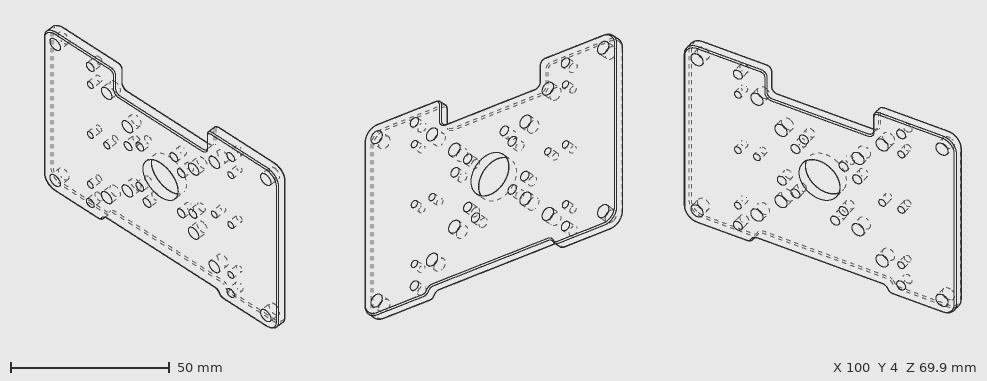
import cadquery as cq
import math

length = 100
thickness = 4
height = 69.9
corner_radius = 5
edge_chamfer = 0.5

notch_width = 39.2
notch_depth = 10
notch_radius = 2

recess_depth = 2.5
recess_mouth_width = 51
recess_floor_width = 48.2
recess_radius = 2

bore_diameter = 15
large_diameter = 4.5
medium_diameter = 3.3
small_diameter = 2.5

corner_x = 45
corner_z = 30
side_x = 30
side_small_z = 22
inner_x = 23
large_circle_radius = 20
diagonal_circle_radius = 12.5
offset_circle_radius = 15
diagonal_angle = 45
offset_angle = 67.5


def mirrored(x, z):
    """The four points mirrored about both axes of the plate."""
    return [(sx * x, sz * z) for sx in (-1, 1) for sz in (-1, 1)]


def on_circle(radius, start_angle):
    """Four points a quarter turn apart on a circle about the bore."""
    angles = [math.radians(start_angle + 90 * i) for i in range(4)]
    return [(radius * math.cos(a), radius * math.sin(a)) for a in angles]


def plate_prism(points):
    """Prism through the full thickness, outlined by (x, z) points."""
    return cq.Workplane("XZ").polyline(points).close().extrude(thickness / 2, both=True)


def round_edges(body, points, radius):
    """Fillet the edges that cross the thickness at the given (x, z) points."""
    for x, z in points:
        body = body.edges(cq.selectors.NearestToPointSelector((x, 0, z))).fillet(radius)
    return body


def plate_blank():
    """Plate with its notch, recess, rounded corners and chamfered rim, without holes."""
    half_length = length / 2
    top = height / 2
    notch_floor = top - notch_depth
    recess_floor = recess_depth - top

    plate_corners = mirrored(half_length, top)
    notch_mouth = [(s * notch_width / 2, top) for s in (-1, 1)]
    notch_inner = [(s * notch_width / 2, notch_floor) for s in (-1, 1)]
    recess_mouth = [(s * recess_mouth_width / 2, -top) for s in (-1, 1)]
    recess_inner = [(s * recess_floor_width / 2, recess_floor) for s in (-1, 1)]

    outline = [
        (-half_length, -top),
        recess_mouth[0],
        recess_inner[0],
        recess_inner[1],
        recess_mouth[1],
        (half_length, -top),
        (half_length, top),
        notch_mouth[1],
        notch_inner[1],
        notch_inner[0],
        notch_mouth[0],
        (-half_length, top),
    ]
    blank = plate_prism(outline)
    blank = round_edges(blank, plate_corners, corner_radius)
    blank = round_edges(blank, notch_mouth + notch_inner, notch_radius)
    blank = round_edges(blank, recess_mouth + recess_inner, recess_radius)
    return blank.faces("<Y or >Y").edges().chamfer(edge_chamfer)


def drills(points, diameter):
    """Cylinders through the full thickness at (x, z) points."""
    return cq.Workplane("XZ").pushPoints(points).circle(diameter / 2).extrude(thickness / 2, both=True)


large_points = (
    mirrored(corner_x, corner_z)
    + mirrored(inner_x, inner_x)
    + on_circle(large_circle_radius, diagonal_angle)
)
medium_points = (
    mirrored(side_x, corner_z)
    + on_circle(diagonal_circle_radius, diagonal_angle)
    + on_circle(offset_circle_radius, offset_angle)
)
level_points = [(s * x, 0) for s in (-1, 1) for x in (inner_x, side_x)]
small_points = mirrored(side_x, side_small_z) + level_points

result = plate_blank()
result = result.cut(drills([(0, 0)], bore_diameter))
result = result.cut(drills(large_points, large_diameter))
result = result.cut(drills(medium_points, medium_diameter))
result = result.cut(drills(small_points, small_diameter))